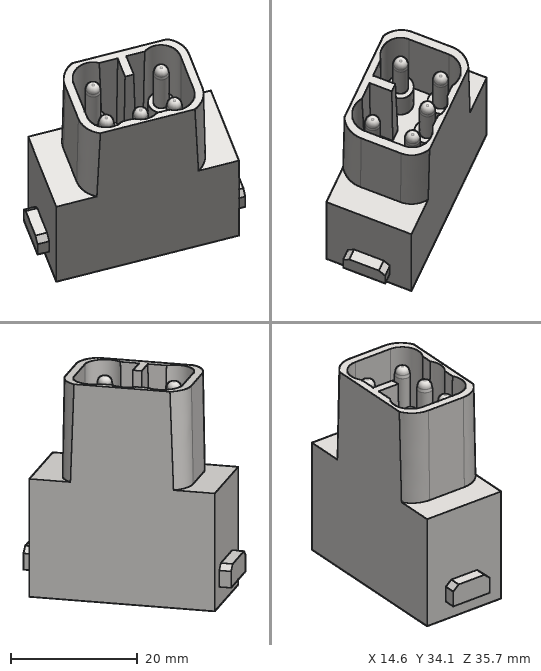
import cadquery as cq
import math

total_height = 35.7
body_width = 14.6
overall_length = 34.1
tab_depth = 1.93
body_length = overall_length - 2 * tab_depth
body_height = 19.5
tower_height = total_height - body_height

draft_angle = 1.0
draft_shift = tower_height * math.tan(math.radians(draft_angle))

tower_width = 16.0
tower_length = 21.1
tower_corner_radius = 4.57

tab_bottom = 3.2
tab_height = 3.65
front_tab_width = 7.2
back_tab_width = 9.03
front_tab_chamfer = 1.07
back_tab_chamfer = 1.0
tab_chamfer_height = 0.93

corner_pin_x = 3.43
corner_pin_y = 5.65
middle_pin_x = 3.57
corner_pins = [(sx * corner_pin_x, sy * corner_pin_y) for sx in (-1, 1) for sy in (-1, 1)]
pin_positions = corner_pins + [(middle_pin_x, 0)]

socket_floor = body_height
socket_depth = total_height - socket_floor
lobe_radius = 3.2
socket_left = -6.05
socket_right = 6.15
right_wall_draft = 0.5
key_width = 1.43
key_tip_x = -2.2

pin_radius = 1.25
pin_top = 34.02
pin_neck_radius = 1.15
pin_tip_radius = 0.18
pin_cone_height = 0.55
collar_radius = 2.07
collar_top = 25.05


def make_body():
    return cq.Workplane("XY").box(body_width, body_length, body_height, centered=(True, True, False))


def make_tab(width, chamfer_width, side):
    """Tab with two chamfered upper corners on the end wall at side (-1 front, +1 back)."""
    half = width / 2
    shoulder = tab_bottom + tab_height - tab_chamfer_height
    top = tab_bottom + tab_height
    outline = [
        (-half, tab_bottom),
        (half, tab_bottom),
        (half, shoulder),
        (half - chamfer_width, top),
        (-half + chamfer_width, top),
        (-half, shoulder),
    ]
    plane = cq.Workplane("XZ", origin=(0, side * body_length / 2, 0))
    return plane.polyline(outline).close().extrude(-side * tab_depth)


def make_tower():
    """Drafted tower with rounded corners, its long sides flush with the body."""
    outline = cq.Sketch().rect(tower_width, tower_length).vertices().fillet(tower_corner_radius)
    drafted = (
        cq.Workplane("XY", origin=(0, 0, body_height))
        .placeSketch(outline)
        .extrude(tower_height, taper=draft_angle)
    )
    flush_limits = cq.Workplane("XY").box(body_width, tower_length, total_height, centered=(True, True, False))
    return drafted.intersect(flush_limits)


def make_key():
    """Key rib on the -X wall, thicker and longer towards the floor."""
    half_top = key_width / 2
    half_floor = half_top + draft_shift
    root_x = -body_width / 2
    cross_section = [
        (-half_floor, socket_floor),
        (half_floor, socket_floor),
        (half_top, total_height),
        (-half_top, total_height),
    ]
    side_profile = [
        (root_x, socket_floor),
        (key_tip_x + draft_shift, socket_floor),
        (key_tip_x, total_height),
        (root_x, total_height),
    ]
    rib = cq.Workplane("YZ", origin=(root_x, 0, 0)).polyline(cross_section).close().extrude(body_width)
    limits = cq.Workplane("XZ").polyline(side_profile).close().extrude(half_floor, both=True)
    return rib.intersect(limits)


def make_socket():
    """Socket: straight round lobes about the pins, drafted flat walls between, less the key."""
    floor_left = socket_left + draft_shift
    floor_right = socket_right - socket_depth * math.tan(math.radians(right_wall_draft))
    flat_walls = [
        (floor_left, socket_floor),
        (floor_right, socket_floor),
        (socket_right, total_height),
        (socket_left, total_height),
    ]
    socket = cq.Workplane("XZ").polyline(flat_walls).close().extrude(corner_pin_y, both=True)
    floor = cq.Workplane("XY", origin=(0, 0, socket_floor))
    end_to_end = floor.rect(2 * corner_pin_x, 2 * (corner_pin_y + lobe_radius)).extrude(socket_depth)
    socket = socket.union(end_to_end)
    for x, y in pin_positions:
        socket = socket.union(floor.center(x, y).circle(lobe_radius).extrude(socket_depth))
    return socket.cut(make_key())


def make_pin(x, y):
    """Pin rising from a round collar, with a conical neck and a domed tip."""
    dome_radius = pin_neck_radius - pin_tip_radius
    dome_base = pin_top - dome_radius
    dome_mid_offset = dome_radius * math.sin(math.radians(45))
    profile = (
        cq.Workplane("XZ")
        .moveTo(0, socket_floor)
        .lineTo(collar_radius, socket_floor)
        .lineTo(collar_radius, collar_top)
        .lineTo(pin_radius, collar_top)
        .lineTo(pin_radius, dome_base - pin_cone_height)
        .lineTo(pin_neck_radius, dome_base)
        .threePointArc(
            (pin_tip_radius + dome_mid_offset, dome_base + dome_mid_offset),
            (pin_tip_radius, pin_top),
        )
        .lineTo(0, pin_top)
        .close()
    )
    return profile.revolve(360, (0, 0, 0), (0, 1, 0)).translate((x, y, 0))


result = make_body().union(make_tower())
result = result.union(make_tab(front_tab_width, front_tab_chamfer, -1))
result = result.union(make_tab(back_tab_width, back_tab_chamfer, 1))
result = result.cut(make_socket())
for pin_x, pin_y in pin_positions:
    result = result.union(make_pin(pin_x, pin_y))